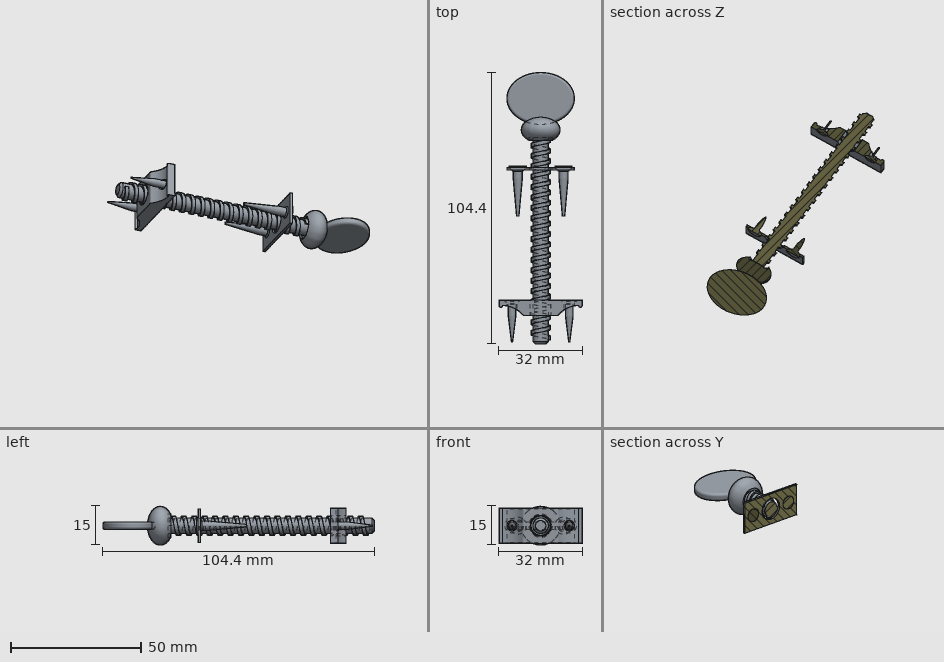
import cadquery as cq
import math


rod_diameter = 6.0
rod_tip_chamfer = 1.0
thread_pitch = 4.0
thread_width = 1.5
thread_height = 0.7
thread_start = 2.3
thread_turns = 19
thread_embed = 0.4

knob_radius = 7.5
knob_half_length = 5.0
knob_bore_diameter = 9.0
knob_bore_depth = 1.0
knob_mouth_angle = math.acos(knob_bore_diameter / 2 / knob_radius)
knob_mouth = thread_start + thread_turns * thread_pitch
knob_equator = knob_mouth + knob_half_length * math.sin(knob_mouth_angle)
rod_length = knob_mouth + knob_bore_depth

overall_length = 104.4
tab_width = 26.0
tab_length = 20.0
tab_thickness = 3.0
tab_edge_radius = 1.0

plate_width = 26.0
plate_height = 13.0
plate_thickness = 1.0
plate_back = 67.8
plate_hole_diameter = 8.6

bracket_width = 32.0
bracket_height = 13.6
bracket_depth = 6.0
bracket_back = 16.9
bracket_hole_diameter = 8.0
lip_width = 1.4
wing_thickness = 2.1
wing_arc_radius = 10.0
pad_corner_radius = 1.0

plate_screw_spacing = 17.6
plate_screw_head_diameter = 6.6
plate_screw_rim_height = 0.6
plate_screw_diameter = 3.6
plate_screw_neck_length = 2.6
plate_screw_taper_length = 14.5
plate_screw_tip_diameter = 1.0

bracket_screw_spacing = 22.0
bracket_screw_head_diameter = 5.5
bracket_screw_rim_height = 0.5
bracket_screw_diameter = 3.0
bracket_screw_neck_length = 4.55
bracket_screw_taper_length = 9.8
bracket_screw_tip_diameter = 0.5
bracket_screw_hole_diameter = 4.0


def mirrored_places(spacing):
    return [-spacing / 2, spacing / 2]


def cylinder_along_y(x, y_start, length, diameter):
    """Cylinder parallel to Y at height Z = 0, growing toward +Y."""
    base = cq.Vector(x, y_start, 0)
    return cq.Workplane(cq.Solid.makeCylinder(diameter / 2, length, base, cq.Vector(0, 1, 0)))


def revolve_about_y(half_profile):
    """Revolve a closed XY half profile around the Y axis."""
    return half_profile.revolve(360, (0, 0, 0), (0, 1, 0))


def make_rod():
    core_radius = rod_diameter / 2
    core_profile = (
        cq.Workplane("XY")
        .moveTo(0, 0)
        .lineTo(core_radius - rod_tip_chamfer, 0)
        .lineTo(core_radius, rod_tip_chamfer)
        .lineTo(core_radius, rod_length)
        .lineTo(0, rod_length)
        .close()
    )
    core = revolve_about_y(core_profile)

    helix = cq.Wire.makeHelix(thread_pitch, thread_turns * thread_pitch, core_radius)
    ridge_depth = thread_height + thread_embed
    ridge_centre = core_radius + (thread_height - thread_embed) / 2
    thread = (
        cq.Workplane("XZ")
        .center(ridge_centre, 0)
        .rect(ridge_depth, thread_width)
        .sweep(cq.Workplane(helix), isFrenet=True)
        .rotate((0, 0, 0), (1, 0, 0), -90)
        .translate((0, thread_start, 0))
    )
    return core.union(thread)


def make_tab():
    return (
        cq.Workplane("XY", origin=(0, overall_length - tab_length / 2, -tab_thickness / 2))
        .ellipse(tab_width / 2, tab_length / 2)
        .extrude(tab_thickness)
        .faces("|Z")
        .edges()
        .fillet(tab_edge_radius)
    )


def make_knob(tab):
    bore_radius = knob_bore_diameter / 2
    half_profile = (
        cq.Workplane("XY")
        .moveTo(0, rod_length)
        .lineTo(bore_radius, rod_length)
        .lineTo(bore_radius, knob_mouth)
        .ellipseArc(knob_radius, knob_half_length, -math.degrees(knob_mouth_angle), 90, startAtCurrent=True)
        .close()
    )
    return revolve_about_y(half_profile).cut(tab)


def make_screw(x, head_top, head_diameter, rim_height, diameter, neck_length, taper_length, tip_diameter):
    """Countersunk head with a straight rim and 45 degree cone, neck and tapered spike pointing to -Y."""
    cone_top = head_top - rim_height
    neck_top = cone_top - (head_diameter - diameter) / 2
    neck_bottom = neck_top - neck_length
    tip = neck_bottom - taper_length
    half_profile = cq.Workplane("XY").polyline(
        [
            (0, head_top),
            (head_diameter / 2, head_top),
            (head_diameter / 2, cone_top),
            (diameter / 2, neck_top),
            (diameter / 2, neck_bottom),
            (tip_diameter / 2, tip),
            (0, tip),
        ]
    ).close()
    return revolve_about_y(half_profile).translate((x, 0, 0))


def make_plate(screws):
    plate_front = plate_back - plate_thickness
    plate = cq.Workplane("XY").box(plate_width, plate_thickness, plate_height)
    plate = plate.translate((0, plate_front + plate_thickness / 2, 0))
    plate = plate.cut(cylinder_along_y(0, plate_front, plate_thickness, plate_hole_diameter))
    for screw in screws:
        plate = plate.cut(screw)
    return plate


def make_bracket(screws):
    half_width = bracket_width / 2
    lip_inner = half_width - lip_width
    lip_round = lip_width / 2
    wing_face = bracket_back - wing_thickness
    pad_face = bracket_back - bracket_depth

    arc_drop = bracket_depth - wing_thickness
    arc_end_angle = math.acos(1 - arc_drop / wing_arc_radius)
    pad_half_width = lip_inner - wing_arc_radius * math.sin(arc_end_angle)
    arc_middle = (
        lip_inner - wing_arc_radius * math.sin(arc_end_angle / 2),
        wing_face - wing_arc_radius * (1 - math.cos(arc_end_angle / 2)),
    )
    half = (
        cq.Workplane("XY", origin=(0, 0, -bracket_height / 2))
        .moveTo(0, bracket_back)
        .lineTo(half_width, bracket_back)
        .lineTo(half_width, wing_face)
        .threePointArc((half_width - lip_round, wing_face - lip_round), (lip_inner, wing_face))
        .threePointArc(arc_middle, (pad_half_width, pad_face))
        .lineTo(0, pad_face)
        .close()
        .extrude(bracket_height)
    )
    bracket = half.union(half.mirror("YZ")).edges("|Z and <Y").fillet(pad_corner_radius)

    bracket = bracket.cut(cylinder_along_y(0, pad_face, bracket_depth, bracket_hole_diameter))
    for screw, x in zip(screws, mirrored_places(bracket_screw_spacing)):
        bracket = bracket.cut(cylinder_along_y(x, pad_face, bracket_depth, bracket_screw_hole_diameter))
        bracket = bracket.cut(screw)
    return bracket


plate_screws = [
    make_screw(
        x,
        plate_back + plate_screw_rim_height,
        plate_screw_head_diameter,
        plate_screw_rim_height,
        plate_screw_diameter,
        plate_screw_neck_length,
        plate_screw_taper_length,
        plate_screw_tip_diameter,
    )
    for x in mirrored_places(plate_screw_spacing)
]
bracket_screws = [
    make_screw(
        x,
        bracket_back,
        bracket_screw_head_diameter,
        bracket_screw_rim_height,
        bracket_screw_diameter,
        bracket_screw_neck_length,
        bracket_screw_taper_length,
        bracket_screw_tip_diameter,
    )
    for x in mirrored_places(bracket_screw_spacing)
]
rod = make_rod()
tab = make_tab()
knob = make_knob(tab)
plate = make_plate(plate_screws)
bracket = make_bracket(bracket_screws)

result = cq.Compound.makeCompound(
    [
        rod.val(),
        tab.val(),
        knob.val(),
        plate.val(),
        bracket.val(),
        *[screw.val() for screw in plate_screws + bracket_screws],
    ]
)